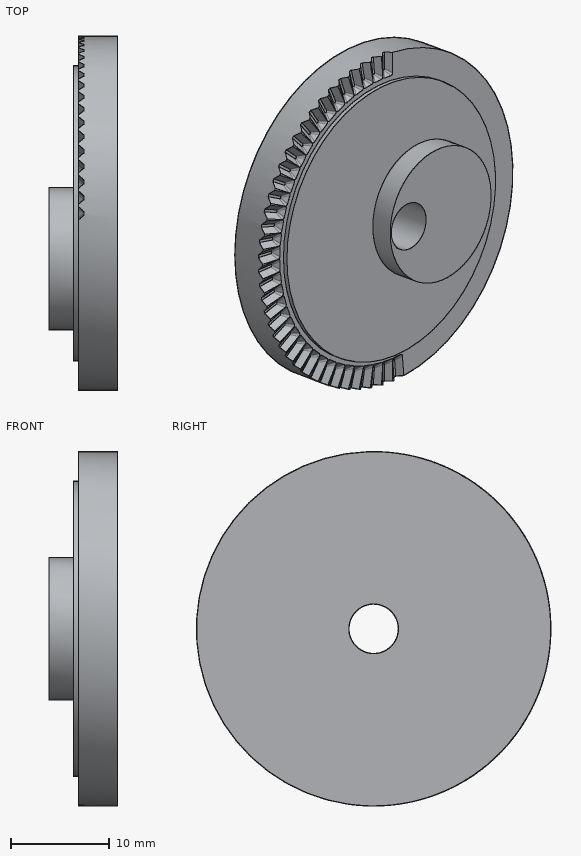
import cadquery as cq
import math

disc_diameter = 36.0
disc_thickness = 4.0

step_diameter = 30.0
step_height = 0.5

hub_diameter = 14.5
hub_length = 2.5
hub_offset = 4.6

bore_diameter = 5.0

gap_positions_per_turn = 70
gap_count = 37
gap_pitch_angle = 360 / gap_positions_per_turn
gap_depth = 0.6
gap_mouth_width = 1.4
gap_floor_width = 0.28
gap_inner_radius = 15.5
gap_end_slope_run = gap_depth
gap_mouth_corner_radius = 0.25
gap_floor_corner_radius = 0.12

disc_radius = disc_diameter / 2
disc_front = -disc_thickness
step_front = disc_front - step_height
hub_front = step_front - hub_length
cut_margin = 1.0


def cylinder(diameter, x_start, x_end, y_center=0.0):
    """Solid cylinder along X between two X positions."""
    return (
        cq.Workplane("YZ", origin=(x_start, y_center, 0))
        .circle(diameter / 2)
        .extrude(x_end - x_start)
    )


def gap_outline(x, width, inner_radius, corner_radius):
    """Closed wire of a radial gap section at a given X, running out past the rim along +Z."""
    half = width / 2
    outer = disc_radius + cut_margin
    straight = half - corner_radius
    corner_z = inner_radius + corner_radius
    arc_reach = corner_radius * math.sqrt(0.5)
    outline = (
        cq.Workplane("YZ", origin=(x, 0, 0))
        .moveTo(-half, outer)
        .lineTo(-half, corner_z)
        .threePointArc((-straight - arc_reach, corner_z - arc_reach), (-straight, inner_radius))
        .lineTo(straight, inner_radius)
        .threePointArc((straight + arc_reach, corner_z - arc_reach), (half, corner_z))
        .lineTo(half, outer)
        .close()
    )
    return outline.val()


def tooth_gap():
    """Trapezoidal gap with sloping flanks and a sloping inner end, pointing along +Z."""
    mouth = gap_outline(disc_front, gap_mouth_width, gap_inner_radius, gap_mouth_corner_radius)
    floor_x = disc_front + gap_depth
    floor_inner_radius = gap_inner_radius + gap_end_slope_run
    floor = gap_outline(floor_x, gap_floor_width, floor_inner_radius, gap_floor_corner_radius)
    return cq.Solid.makeLoft([mouth, floor], True)


def cut_tooth_gaps(body):
    """Cut the row of gaps from the top of the disc round through +Y to just past the bottom."""
    gap = tooth_gap()
    for index in range(gap_count):
        angle = -index * gap_pitch_angle
        body = body.cut(cq.Workplane(gap.rotate(cq.Vector(0, 0, 0), cq.Vector(1, 0, 0), angle)))
    return body


disc = cut_tooth_gaps(cylinder(disc_diameter, disc_front, 0))
step = cylinder(step_diameter, step_front, disc_front)
hub = cylinder(hub_diameter, hub_front, step_front, -hub_offset)
bore = cylinder(bore_diameter, hub_front, 0)

result = disc.union(step).union(hub).cut(bore)